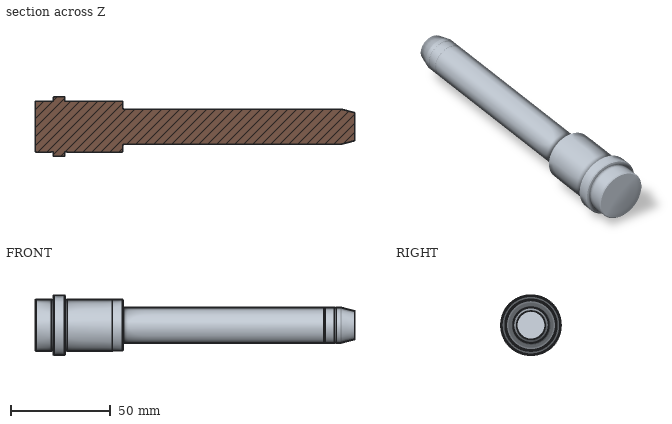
import cadquery as cq
import math

total_length = 160.0
head_length = 44.0
flange_start = 9.0
flange_width = 6.0
flange_end = flange_start + flange_width
lead_start = 38.5
tip_start = 153.0

head_diameter = 26.0
lead_diameter = 25.8
flange_diameter = 30.0
pin_diameter = 18.0
tip_diameter = 14.2

edge_chamfer = 0.5
neck_fillet = 0.5
relief_width = 1.0
relief_depth = 0.2
pin_groove_starts = (144.3, 149.6)

face_x = -total_length / 2


def cylinder(start, end, diameter):
    """Solid cylinder on the X axis between two axial positions."""
    plane = cq.Workplane("YZ", origin=(face_x + start, 0, 0))
    return plane.circle(diameter / 2).extrude(end - start)


def surface_groove(start, end, diameter, depth):
    """Ring that lowers a cylindrical surface by the given depth."""
    return cylinder(start, end, diameter).cut(cylinder(start, end, diameter - 2 * depth))


def make_head():
    """Head cylinder with a slightly thinner lead at the pin end and both rims chamfered."""
    body = cylinder(0, lead_start, head_diameter).faces("<X").chamfer(edge_chamfer)
    lead = cylinder(lead_start, head_length, lead_diameter).faces(">X").chamfer(edge_chamfer)
    return body.union(lead)


def make_flange():
    """Collar around the head with both rims chamfered."""
    return cylinder(flange_start, flange_end, flange_diameter).edges("%CIRCLE").chamfer(edge_chamfer)


def make_pin():
    """Long pin with a fillet at the head and a tapered tip."""
    head_end_x = face_x + head_length
    pin_radius = pin_diameter / 2
    fillet_radius = pin_radius + neck_fillet
    arc_reach = neck_fillet * (1 - math.cos(math.pi / 4))
    return (
        cq.Workplane("XY")
        .moveTo(head_end_x, 0)
        .lineTo(head_end_x, fillet_radius)
        .threePointArc(
            (head_end_x + arc_reach, pin_radius + arc_reach),
            (head_end_x + neck_fillet, pin_radius),
        )
        .lineTo(face_x + tip_start, pin_radius)
        .lineTo(face_x + total_length, tip_diameter / 2)
        .lineTo(face_x + total_length, 0)
        .close()
        .revolve(360, (0, 0, 0), (1, 0, 0))
    )


result = make_head()

for relief_start in (flange_start - relief_width, flange_end):
    relief_end = relief_start + relief_width
    result = result.cut(surface_groove(relief_start, relief_end, head_diameter, relief_depth))

result = result.union(make_flange())

pin = make_pin()
for groove_start in pin_groove_starts:
    groove_end = groove_start + relief_width
    pin = pin.cut(surface_groove(groove_start, groove_end, pin_diameter, relief_depth))

result = result.union(pin)